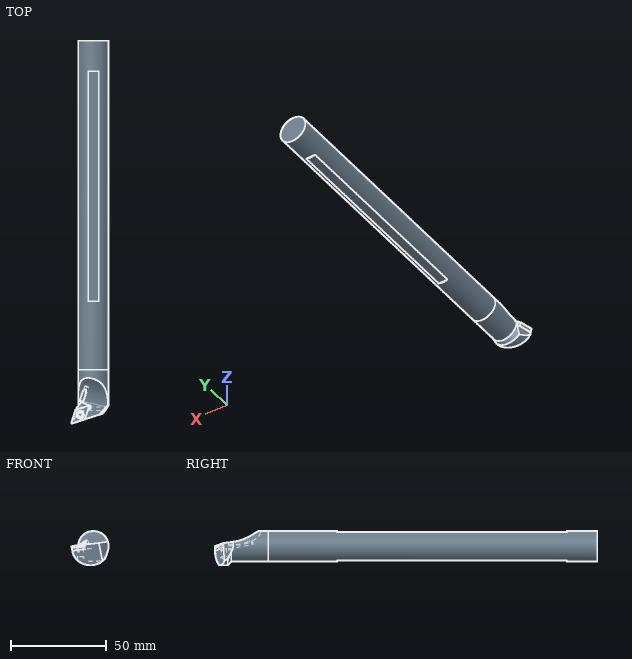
import cadquery as cq
import math


bar_length = 200.0
shank_diameter = 16.0
shank_radius = shank_diameter / 2
head_length = 28.0
flat_length = 120.0
flat_rear_margin = 16.0
flat_depth = 0.5

corner_x = -11.76
corner_y = -0.23
corner_z = -0.1

lead_angle = 17.5
rake_rise_x = 0.11
rake_rise_y = 0.04

insert_angle = 55.0
insert_side = 7.75
insert_thickness = 2.38
insert_relief = 7.0
nose_radius = 0.4
insert_hole_diameter = 2.8
corner_relief_diameter = 2.0

screw_head_diameter = 3.8
screw_seat_diameter = 4.0
screw_shank_diameter = 2.5
screw_length = 6.0
screw_head_sink = 0.2
screw_head_depth = 1.3
socket_across_corners = 2.4
socket_depth = 0.8

bulge_radius = 10.0
bulge_x = -1.55
bulge_start_y = 6.9
shoulder_start_y = 8.8
bulge_overrun = 2.0

flank_inset = 0.35
flank_relief = 6.0
front_inset = 0.12
side_face_x = 2.7
side_face_angle = 47.0
side_face_tilt = 6.0

gullet_radius = 17.5
gullet_y = 10.4
gullet_angle = -13.0
coolant_diameter = 2.0
coolant_start = (-3.6, 19.5, 2.05)
coolant_end = (-6.3, 11.5, 0.45)
recess_wall_angle = 140.0
recess_wall_length = 4.6
recess_depth = 0.3

clearance = 40.0


def unit(angle):
    """Unit vector in the XY plane at the given angle from +X."""
    return cq.Vector(math.cos(math.radians(angle)), math.sin(math.radians(angle)), 0)


def on_rake(direction):
    """Lift a horizontal direction onto the rake plane."""
    return cq.Vector(direction.x, direction.y, rake_rise_x * direction.x + rake_rise_y * direction.y)


corner = cq.Vector(corner_x, corner_y, corner_z)
rake_plane = cq.Plane(
    origin=corner.toTuple(),
    xDir=on_rake(unit(lead_angle)).toTuple(),
    normal=(-rake_rise_x, -rake_rise_y, 1),
)

side_vector = unit(insert_angle) * insert_side
far_corner = (insert_side + side_vector.x, side_vector.y)
insert_center = (far_corner[0] / 2, far_corner[1] / 2)


def rod(radius, start_y, end_y, center_x=0.0):
    """Cylinder parallel to Y."""
    length = end_y - start_y
    return cq.Workplane(cq.Solid.makeCylinder(
        radius, length, cq.Vector(center_x, start_y, 0), cq.Vector(0, 1, 0)))


def insert_outline():
    """Rhombus of the insert on the rake plane."""
    return cq.Workplane(rake_plane).polyline([
        (0, 0),
        (insert_side, 0),
        far_corner,
        (side_vector.x, side_vector.y),
    ]).close()


def insert_blank():
    """Insert without its hole."""
    sharp = insert_outline().extrude(-insert_thickness)
    rounded = sharp.edges(cq.selectors.ParallelDirSelector(rake_plane.zDir)).fillet(nose_radius)
    top_wire = rounded.faces(cq.selectors.DirectionMinMaxSelector(rake_plane.zDir, True)).wires().val()
    return cq.Workplane(rake_plane).add(top_wire).toPending().extrude(-insert_thickness, taper=insert_relief)


def disc(diameter, top, bottom):
    """Cylinder along the screw axis between two depths below the rake plane."""
    return (
        cq.Workplane(rake_plane).workplane(offset=-top)
        .center(*insert_center).circle(diameter / 2).extrude(top - bottom)
    )


def screw_space():
    """Countersunk hole that holds the screw: seat in the insert, thread in the head."""
    seat = disc(screw_seat_diameter, 0, screw_head_depth)
    through = disc(insert_hole_diameter, 0, insert_thickness)
    thread = disc(screw_shank_diameter, 0, screw_length)
    return seat.union(through).union(thread)


def make_insert():
    """Cutting insert with its screw hole."""
    return insert_blank().cut(screw_space())


def make_screw():
    """Clamping screw with a hexagonal socket."""
    head = disc(screw_head_diameter, screw_head_sink, screw_head_depth)
    stem = disc(screw_shank_diameter, screw_head_depth, screw_length)
    socket = (
        cq.Workplane(rake_plane).workplane(offset=-screw_head_sink)
        .center(*insert_center).polygon(6, socket_across_corners).extrude(-socket_depth)
    )
    return head.union(stem).cut(socket)


def make_shank():
    """Round bar with a clamping flat above and below."""
    shank = rod(shank_radius, head_length, bar_length)
    flat_center_y = bar_length - flat_rear_margin - flat_length / 2
    for side in (1, -1):
        cutter = cq.Workplane().box(shank_diameter, flat_length, shank_diameter)
        lift = side * (shank_diameter - flat_depth)
        shank = shank.cut(cutter.translate((0, flat_center_y, lift)))
    return shank


def head_blank():
    """Round neck, conical shoulder and the larger bulge in front of it."""
    neck = rod(shank_radius, shoulder_start_y, head_length)
    bulge = rod(bulge_radius, -bulge_overrun, bulge_start_y, bulge_x)
    shoulder = (
        cq.Workplane("XZ", origin=(0, shoulder_start_y, 0)).circle(shank_radius)
        .workplane(offset=shoulder_start_y - bulge_start_y).center(bulge_x, 0).circle(bulge_radius)
        .loft(ruled=True)
    )
    return neck.union(shoulder.union(bulge).cut(flank_cut()))


def block_beyond(point, outward):
    """Large block on the outer side of a plane."""
    plane = cq.Plane(origin=point.toTuple(), normal=outward.toTuple())
    return cq.Workplane(plane).rect(2 * clearance, 2 * clearance).extrude(clearance)


def front_cut():
    """Front face, just behind the leading side of the insert."""
    outward = unit(lead_angle - 90)
    return block_beyond(corner - outward * front_inset, outward)


def flank_cut():
    """Relieved face under the trailing side of the insert."""
    level = unit(lead_angle + insert_angle + 90)
    outward = level - cq.Vector(0, 0, math.tan(math.radians(flank_relief)))
    return block_beyond(corner - level * flank_inset, outward)


def side_cut():
    """Slanted face on the side away from the cutting corner."""
    level = unit(side_face_angle - 90)
    outward = level + cq.Vector(0, 0, math.tan(math.radians(side_face_tilt)))
    reach = on_rake(unit(lead_angle)) * ((side_face_x - corner_x) / unit(lead_angle).x)
    return block_beyond(corner + reach, outward)


def gullet_cut():
    """Flat rake surface at the front, running into a concave round rising toward the shank."""
    normal = rake_plane.zDir
    start = corner + on_rake(cq.Vector(-corner_x, gullet_y - corner_y, 0))
    axis = on_rake(unit(gullet_angle)).normalized()
    center = start + normal * gullet_radius
    round_part = cq.Workplane(cq.Solid.makeCylinder(
        gullet_radius, 2 * clearance, center - axis * clearance, axis))
    plane = cq.Plane(origin=start.toTuple(), xDir=axis.toTuple(), normal=normal.toTuple())
    flat_part = (
        cq.Workplane(plane).center(0, -clearance / 2).rect(2 * clearance, clearance).extrude(clearance)
    )
    return round_part.union(flat_part)


def coolant_hole():
    """Slanted hole that breaks out through the gullet, aimed at the insert."""
    start = cq.Vector(*coolant_start)
    run = cq.Vector(*coolant_end) - start
    return cq.Workplane(cq.Solid.makeCylinder(coolant_diameter / 2, run.Length, start, run))


def corner_relief():
    """Round relief at the inner corner of the insert pocket."""
    radius = corner_relief_diameter / 2
    center = cq.Vector(*far_corner) - unit(insert_angle) * radius
    return (
        cq.Workplane(rake_plane).center(center.x, center.y).circle(radius)
        .extrude(-insert_thickness)
    )


def coolant_recess():
    """Shallow three-sided recess between the coolant outlet and the back of the insert."""
    wall = unit(recess_wall_angle) * recess_wall_length
    return (
        cq.Workplane(rake_plane).polyline([
            (side_vector.x, side_vector.y),
            far_corner,
            (far_corner[0] + wall.x, far_corner[1] + wall.y),
        ]).close().extrude(-recess_depth)
    )


def make_head():
    """Head with its pocket for the insert and its hole for the screw."""
    head = head_blank().cut(front_cut()).cut(side_cut()).cut(gullet_cut())
    head = head.cut(coolant_hole()).cut(corner_relief()).cut(coolant_recess())
    return head.cut(insert_blank()).cut(screw_space())


shank = make_shank()
head = make_head()
insert = make_insert()
screw = make_screw()

result = cq.Compound.makeCompound([
    shank.solids().val(),
    head.solids().val(),
    insert.solids().val(),
    screw.solids().val(),
])